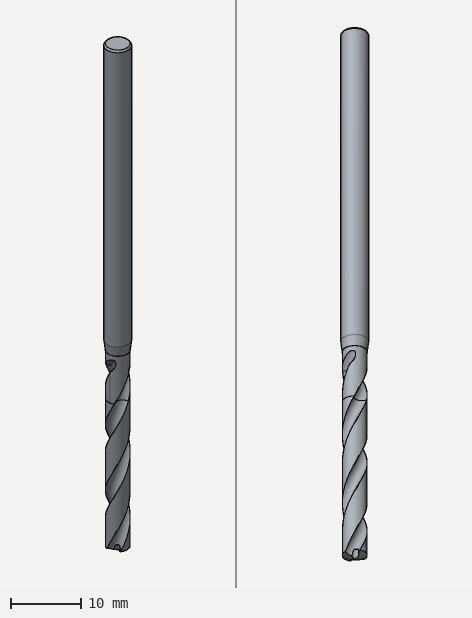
import cadquery as cq
import math

total_length = 86.0
shank_diameter = 4.0
drill_diameter = 3.55
point_angle = 135.0

cutting_length = 25.8
neck_top = 34.0
shank_bottom = 35.7
collar_end_diameter = 3.6
shank_chamfer_width = 0.25
shank_chamfer_height = 0.3

flute_count = 2
flute_lead = 22.3
flute_end = 31.0
flute_radius = 1.12
core_radius = 0.7
first_flute_angle = -88.0

runout_length = 8.0
runout_rise = 1.0

gash_radius = 0.5
gash_height = 1.35
gash_web = 0.15
first_gash_angle = -60.0

drill_radius = drill_diameter / 2
shank_radius = shank_diameter / 2
collar_end_radius = collar_end_diameter / 2
point_height = drill_radius / math.tan(math.radians(point_angle / 2))
flute_axis_radius = core_radius + flute_radius
flute_spacing = 360.0 / flute_count


def flute_angle(height, index):
    """Angle in degrees about Z of the middle of a flute at a height."""
    return first_flute_angle + flute_spacing * index + 360.0 * height / flute_lead


def flute_section(height, index):
    """Round section of a flute, drawn in a horizontal plane centred on the drill axis."""
    angle = math.radians(flute_angle(height, index))
    return (
        cq.Workplane("XY", origin=(0, 0, height))
        .moveTo(flute_axis_radius * math.cos(angle), flute_axis_radius * math.sin(angle))
        .circle(flute_radius)
    )


def helical_flute(bottom, top, index):
    """Flute cutter that twists about Z between two heights."""
    height = top - bottom
    return flute_section(bottom, index).twistExtrude(height, 360.0 * height / flute_lead)


def flute_runout(index):
    """Straight cutter that carries on from the top of a flute and leaves the neck sideways."""
    angle = math.radians(flute_angle(flute_end, index))
    direction = cq.Vector(-math.sin(angle), math.cos(angle), runout_rise).normalized()
    section = cq.Face.makeFromWires(flute_section(flute_end, index).wires().val())
    return cq.Workplane(cq.Solid.extrudeLinear(section, direction * runout_length))


def web_gash(index):
    """Round cutter that leans outward from the web at the tip up to the floor of a flute."""
    angle = math.radians(first_gash_angle + flute_spacing * index)
    outward = cq.Vector(math.cos(angle), math.sin(angle), 0)
    up = cq.Vector(0, 0, 1)
    lean = outward * (core_radius - gash_web) + up * gash_height
    axis = lean.normalized()
    away_from_web = outward * axis.z - up * outward.dot(axis)
    base = outward * gash_web + away_from_web * gash_radius - axis * gash_height
    return cq.Workplane(cq.Solid.makeCylinder(gash_radius, lean.Length + gash_height, base, axis))


def make_cutting_part():
    """Fluted body with a conical point; its half-outline lies on the -X side."""
    outline = (
        cq.Workplane("XZ")
        .moveTo(0, 0)
        .lineTo(-drill_radius, point_height)
        .lineTo(-drill_radius, cutting_length)
        .lineTo(0, cutting_length)
        .close()
    )
    body = outline.revolve(360, (0, 0), (0, 1))
    for index in range(flute_count):
        body = body.cut(helical_flute(0, cutting_length, index))
        body = body.cut(web_gash(index))
    return body


def make_shank():
    """Shank, collar and neck with the upper ends of the flutes; its half-outline lies on the -Y side."""
    outline = (
        cq.Workplane("YZ")
        .moveTo(0, cutting_length)
        .lineTo(-drill_radius, cutting_length)
        .lineTo(-drill_radius, neck_top)
        .lineTo(-collar_end_radius, neck_top)
        .lineTo(-shank_radius, shank_bottom)
        .lineTo(-shank_radius, total_length - shank_chamfer_height)
        .lineTo(-shank_radius + shank_chamfer_width, total_length)
        .lineTo(0, total_length)
        .close()
    )
    body = outline.revolve(360, (0, 0), (0, 1))
    for index in range(flute_count):
        body = body.cut(helical_flute(cutting_length, flute_end, index))
        body = body.cut(flute_runout(index))
    return body


cutting_part = make_cutting_part()
shank = make_shank()
result = cq.Compound.makeCompound([cutting_part.solids().val(), shank.solids().val()])